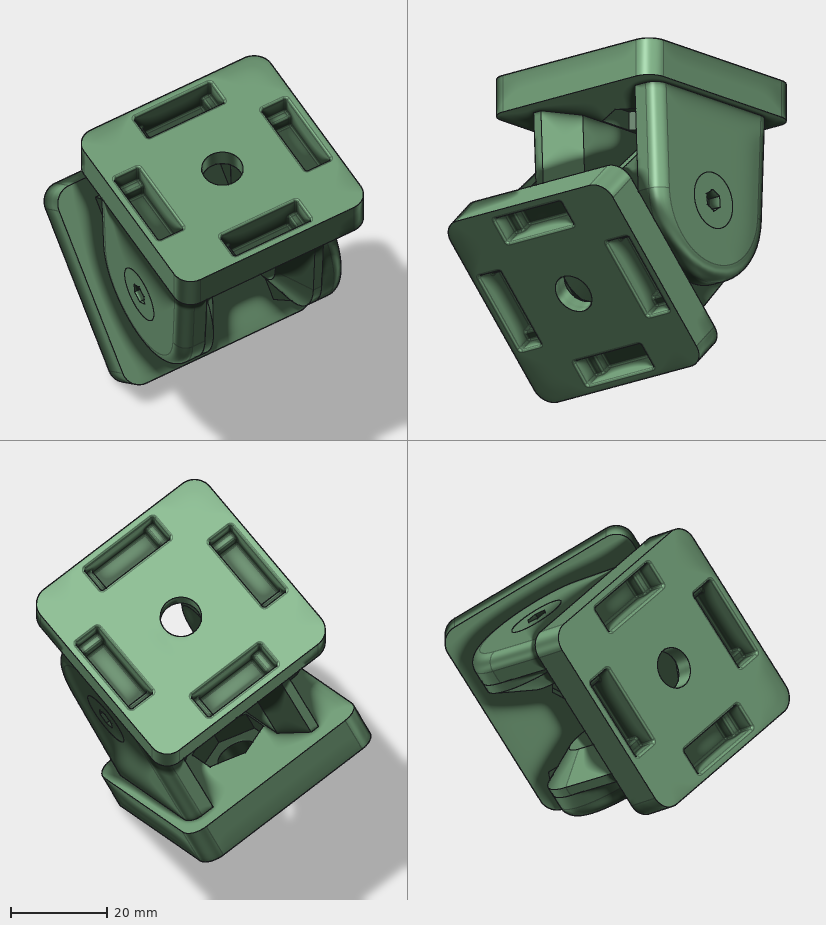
import cadquery as cq
import math


PLATE_WIDTH = 45.0
PLATE_THICKNESS = 8.0
PLATE_CORNER_RADIUS = 4.0
PLATE_UNDERSIDE = 22.0
PLATE_TOP = PLATE_UNDERSIDE + PLATE_THICKNESS
BOLT_HOLE_DIAMETER = 8.6
NUT_ACROSS_CORNERS = 16.5
NUT_RECESS_DEPTH = PLATE_THICKNESS / 2

POCKET_CENTRE = 17.7
POCKET_LENGTH = 18.45
POCKET_WIDTH = 6.0
POCKET_DEPTH = 7.0
POCKET_EDGE_RADIUS = 0.505
LEDGE_DEPTH = 4.3
LEDGE_LENGTH = 2.0

LUG_RADIUS = 16.85
LUG_SIDE_ANGLE = math.radians(2.6)
LUG_JOINT = 14.0
OUTER_LUG_FACE = 20.0
OUTER_LUG_FILLET = 3.0
INNER_LUG_SHOULDER = 12.0
INNER_LUG_FACE = 7.5
INNER_LUG_INSET = 8.0

SHANK_DIAMETER = 6.0
THREAD_DIAMETER = 4.9
SCREW_HEAD_DIAMETER = 12.0
SCREW_HEAD_HEIGHT = (SCREW_HEAD_DIAMETER - SHANK_DIAMETER) / 2
SCREW_TIP_RECESS = 0.4
SOCKET_ACROSS_FLATS = 4.0
SOCKET_DEPTH = 3.0
SOCKET_TURN = -5.0

FOLD_ANGLE = -135.0


def pocket_cutter():
    """Pocket volume along X, with its mouth at Z = 0 and centred on the origin."""
    half_length = POCKET_LENGTH / 2
    ledge_end = half_length - LEDGE_LENGTH
    body = (
        cq.Workplane("XZ")
        .moveTo(-half_length, 0)
        .lineTo(half_length, 0)
        .lineTo(half_length, -LEDGE_DEPTH)
        .lineTo(ledge_end + POCKET_EDGE_RADIUS, -LEDGE_DEPTH)
        .radiusArc((ledge_end, -LEDGE_DEPTH - POCKET_EDGE_RADIUS), -POCKET_EDGE_RADIUS)
        .lineTo(ledge_end, -POCKET_DEPTH)
        .lineTo(-ledge_end, -POCKET_DEPTH)
        .lineTo(-ledge_end, -LEDGE_DEPTH - POCKET_EDGE_RADIUS)
        .radiusArc((-ledge_end - POCKET_EDGE_RADIUS, -LEDGE_DEPTH), -POCKET_EDGE_RADIUS)
        .lineTo(-half_length, -LEDGE_DEPTH)
        .close()
        .extrude(POCKET_WIDTH / 2, both=True)
    )
    side_edges = body.faces("<Y or >Y").edges("not >Z")
    corner_edges = body.faces("<X or >X").edges("<Z").add(body.faces("<Z").edges("|Y"))
    return side_edges.add(corner_edges).fillet(POCKET_EDGE_RADIUS)


def plate():
    """Rounded square plate with four pockets, a bolt hole and a nut recess."""
    body = (
        cq.Workplane("XY")
        .workplane(offset=PLATE_UNDERSIDE)
        .rect(PLATE_WIDTH, PLATE_WIDTH)
        .extrude(PLATE_THICKNESS)
        .edges("|Z")
        .fillet(PLATE_CORNER_RADIUS)
    )
    pocket = pocket_cutter().translate((0, POCKET_CENTRE, PLATE_TOP))
    for quarter in range(4):
        body = body.cut(pocket.rotate((0, 0, 0), (0, 0, 1), 90 * quarter))
    for rim in body.faces(">Z").val().innerWires():
        body = cq.Workplane(body.val().fillet(POCKET_EDGE_RADIUS, rim.Edges()))
    bolt_hole = cq.Workplane("XY").workplane(offset=PLATE_UNDERSIDE).circle(BOLT_HOLE_DIAMETER / 2)
    nut_recess = cq.Workplane("XY").workplane(offset=PLATE_UNDERSIDE).polygon(6, NUT_ACROSS_CORNERS)
    return body.cut(bolt_hole.extrude(PLATE_THICKNESS)).cut(nut_recess.extrude(NUT_RECESS_DEPTH))


def lug_outline(y, inset=0.0):
    """Outline across Y: straight sides leaning into a round end about the hinge axis."""
    radius = LUG_RADIUS - inset
    tangent_x = radius * math.cos(LUG_SIDE_ANGLE)
    tangent_z = -radius * math.sin(LUG_SIDE_ANGLE)
    base_x = radius / math.cos(LUG_SIDE_ANGLE) + PLATE_UNDERSIDE * math.tan(LUG_SIDE_ANGLE)
    return (
        cq.Workplane("XZ", origin=(0, y, 0))
        .moveTo(-base_x, PLATE_UNDERSIDE)
        .lineTo(-tangent_x, tangent_z)
        .threePointArc((0, -radius), (tangent_x, tangent_z))
        .lineTo(base_x, PLATE_UNDERSIDE)
        .close()
    )


def outer_lug():
    """Lug on the -Y side, rounded along its outer face."""
    body = lug_outline(-LUG_JOINT).extrude(OUTER_LUG_FACE - LUG_JOINT)
    return body.faces("<Y").edges("not >Z").fillet(OUTER_LUG_FILLET)


def inner_lug():
    """Lug on the +Y side, tapering towards the middle of the bracket."""
    base = lug_outline(LUG_JOINT).extrude(LUG_JOINT - INNER_LUG_SHOULDER)
    wide = lug_outline(INNER_LUG_SHOULDER).wire().val()
    narrow = lug_outline(INNER_LUG_FACE, INNER_LUG_INSET).wire().val()
    return base.union(cq.Workplane(cq.Solid.makeLoft([wide, narrow], True)))


def screw_blank(tip):
    """Countersunk screw without its socket, from the -Y outer lug face to Y = tip."""
    head_end = -OUTER_LUG_FACE + SCREW_HEAD_HEIGHT
    return (
        cq.Workplane("XY")
        .moveTo(0, -OUTER_LUG_FACE)
        .lineTo(SCREW_HEAD_DIAMETER / 2, -OUTER_LUG_FACE)
        .lineTo(SHANK_DIAMETER / 2, head_end)
        .lineTo(SHANK_DIAMETER / 2, -LUG_JOINT)
        .lineTo(THREAD_DIAMETER / 2, -LUG_JOINT)
        .lineTo(THREAD_DIAMETER / 2, tip)
        .lineTo(0, tip)
        .close()
        .revolve(360, (0, 0, 0), (0, 1, 0))
    )


def half_turn(body):
    """The same body turned to the opposite Y side."""
    return body.rotate((0, 0, 0), (0, 0, 1), 180)


def bracket():
    """Plate with both lugs, bored to fit the hinge screws."""
    body = plate().union(outer_lug()).union(inner_lug())
    bore = screw_blank(-INNER_LUG_FACE)
    return body.cut(bore).cut(half_turn(bore))


def screw():
    """Hinge screw with a hexagon socket in its head."""
    socket = (
        cq.Workplane("XZ", origin=(0, -OUTER_LUG_FACE, 0))
        .polygon(6, SOCKET_ACROSS_FLATS, circumscribed=True)
        .extrude(-SOCKET_DEPTH)
        .rotate((0, 0, 0), (0, 1, 0), SOCKET_TURN)
    )
    return screw_blank(-INNER_LUG_FACE - SCREW_TIP_RECESS).cut(socket)


upper_bracket = bracket()
lower_bracket = half_turn(bracket()).rotate((0, 0, 0), (0, 1, 0), FOLD_ANGLE)
screws = [screw().rotate((0, 0, 0), (0, 0, 1), turn) for turn in (0, 180)]

result = cq.Compound.makeCompound(
    [upper_bracket.val(), lower_bracket.val(), *[body.val() for body in screws]]
)